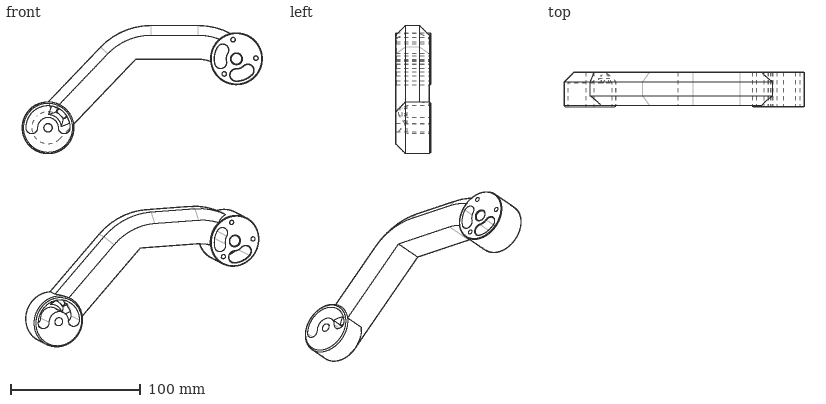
import cadquery as cq
import math


length = 185.0
depth = 27.0
height = 98.8

hub_radius = 20.0
hub_edge_chamfer = 0.5
lower_front_chamfer = 1.1
upper_hub_drop = 5.7
upper_hub_x = length - 2 * hub_radius
upper_hub_z = height - 2 * hub_radius - upper_hub_drop

arm_front = 1.1
arm_width = 26.0
arm_chamfer = 7.5
arm_angle = 46.3
arm_top_z = height - hub_radius
arm_top_offset = 13.7
inner_bend_radius = 27.8
outer_bend_radius = inner_bend_radius + arm_width
middle_bend_radius = inner_bend_radius + arm_width / 2

lower_hole_diameter = 6.3
pocket_inner_radius = 8.0
pocket_outer_radius = 17.0
pocket_depth = 18.5
entry_depth = 3.7
entry_mouth_radius = 10.2
entry_mouth_inner_half_angle = 41.5
entry_mouth_outer_half_angle = 34.5
entry_floor_radius = 13.5
entry_floor_half_angle = 17.0
ramp_width = 7.8
ramp_drop = 2.5

upper_hole_diameter = 8.1
hole_rim_chamfer = 0.5
slot_rim_chamfer = 0.4
slot_inner_radius = 8.0
slot_outer_radius = 17.0
slot_half_span = 23.0
slot_spacing = 60.5
screw_diameter = 3.3
screw_circle_radius = 15.0
screw_spacing = 131.0
pattern_angle = 231.0
left_slot_angle = pattern_angle - slot_spacing
lower_slot_angle = pattern_angle + slot_spacing


def polar(radius, angle, center=(0, 0)):
    """Point at a radius and an angle in degrees around a centre."""
    turn = math.radians(angle)
    return (center[0] + radius * math.cos(turn), center[1] + radius * math.sin(turn))


def face_sketch(y=0.0):
    """Workplane at depth y that faces the front; its local axes are X and Z."""
    return cq.Workplane(cq.Plane(origin=(0, y, 0), xDir=(1, 0, 0), normal=(0, -1, 0)))


def round_bar(diameter, centers=((0, 0),)):
    """Full-depth cylinders at the given centres."""
    return face_sketch().pushPoints(list(centers)).circle(diameter / 2).extrude(-depth)


def curved_slot(inner, outer, start, end, slot_depth):
    """Arc-shaped slot with round ends, around the origin; angles are of the end centres."""
    middle = (start + end) / 2
    center_radius = (inner + outer) / 2
    end_radius = (outer - inner) / 2
    end_tip = polar(end_radius, end + 90, polar(center_radius, end))
    start_tip = polar(end_radius, start - 90, polar(center_radius, start))
    return (
        face_sketch()
        .moveTo(*polar(inner, start))
        .threePointArc(polar(inner, middle), polar(inner, end))
        .threePointArc(end_tip, polar(outer, end))
        .threePointArc(polar(outer, middle), polar(outer, start))
        .threePointArc(start_tip, polar(inner, start))
        .close()
        .extrude(-slot_depth)
    )


def x_on_slope(z, offset):
    """X where a line parallel to the sloping arm, at a sideways offset, reaches height z."""
    slope = math.radians(arm_angle)
    return (z * math.cos(slope) - offset) / math.sin(slope)


def make_arm():
    """Bent bar whose two long upper edges are chamfered."""
    top_offset = arm_top_offset
    bottom_offset = arm_top_offset - arm_width
    across = arm_angle + 90
    bottom_z = arm_top_z - arm_width
    bend_z = arm_top_z - outer_bend_radius

    left = (x_on_slope(bend_z, top_offset - outer_bend_radius), bend_z)
    rise = upper_hub_z - bend_z
    right = (upper_hub_x - math.sqrt(middle_bend_radius**2 - rise**2), bend_z)
    end = math.degrees(math.asin(rise / middle_bend_radius))
    half_way = (90 + end) / 2

    slope_start = polar(top_offset, across)
    slope_end = polar(outer_bend_radius, across, left)
    left_bend_middle = polar(outer_bend_radius, (across + 90) / 2, left)
    right_bend_middle = polar(outer_bend_radius, half_way, right)
    bar = (
        face_sketch(arm_front)
        .moveTo(*polar(bottom_offset, across))
        .lineTo(*slope_start)
        .lineTo(*slope_end)
        .threePointArc(left_bend_middle, (left[0], arm_top_z))
        .lineTo(right[0], arm_top_z)
        .threePointArc(right_bend_middle, polar(outer_bend_radius, end, right))
        .lineTo(*polar(inner_bend_radius, end, right))
        .threePointArc(polar(inner_bend_radius, half_way, right), (right[0], bottom_z))
        .lineTo(x_on_slope(bottom_z, bottom_offset), bottom_z)
        .close()
        .extrude(-(depth - arm_front))
    )

    slope_middle = ((slope_start[0] + slope_end[0]) / 2, (slope_start[1] + slope_end[1]) / 2)
    level_middle = ((left[0] + right[0]) / 2, arm_top_z)
    upper_edges = []
    for x, z in (slope_middle, left_bend_middle, level_middle, right_bend_middle):
        for y in (arm_front, depth):
            nearest = cq.selectors.NearestToPointSelector((x, y, z))
            upper_edges.append(bar.edges(nearest).val())
    return bar.newObject(upper_edges).chamfer(arm_chamfer)


def make_lower_hub():
    hub = round_bar(2 * hub_radius)
    hub = hub.faces("<Y").chamfer(lower_front_chamfer)
    return hub.faces(">Y").chamfer(arm_chamfer)


def make_upper_hub():
    hub = round_bar(2 * hub_radius).faces("<Y or >Y").chamfer(hub_edge_chamfer)
    return hub.translate((upper_hub_x, 0, upper_hub_z))


def entry_outline(y, inner_radius, inner_half_angle, outer_half_angle):
    """Sector outline around the arm direction, reaching out to the pocket wall."""
    inner_first = polar(inner_radius, arm_angle - inner_half_angle)
    inner_last = polar(inner_radius, arm_angle + inner_half_angle)
    outer_first = polar(pocket_outer_radius, arm_angle - outer_half_angle)
    outer_last = polar(pocket_outer_radius, arm_angle + outer_half_angle)
    outline = (
        face_sketch(y)
        .moveTo(*inner_first)
        .threePointArc(polar(inner_radius, arm_angle), inner_last)
        .lineTo(*outer_last)
        .threePointArc(polar(pocket_outer_radius, arm_angle), outer_first)
        .close()
    )
    return outline.val()


def make_cable_entry():
    """Funnel in the pocket floor that runs into a ramp along the arm."""
    funnel_floor = pocket_depth + entry_depth
    mouth = entry_outline(
        pocket_depth, entry_mouth_radius, entry_mouth_inner_half_angle, entry_mouth_outer_half_angle
    )
    floor = entry_outline(
        funnel_floor, entry_floor_radius, entry_floor_half_angle, entry_floor_half_angle
    )
    funnel = cq.Workplane(cq.Solid.makeLoft([mouth, floor], True))

    ramp = (
        cq.Workplane("XY")
        .moveTo(entry_floor_radius, pocket_depth)
        .lineTo(entry_floor_radius, funnel_floor)
        .lineTo(pocket_outer_radius, funnel_floor + ramp_drop)
        .lineTo(pocket_outer_radius, pocket_depth)
        .close()
        .extrude(ramp_width / 2, both=True)
        .rotate((0, 0, 0), (0, 1, 0), -arm_angle)
        .intersect(round_bar(2 * pocket_outer_radius))
    )
    return funnel.union(ramp)


def make_lower_openings():
    pocket = curved_slot(pocket_inner_radius, pocket_outer_radius, 0, 180, pocket_depth)
    return pocket.union(make_cable_entry()).union(round_bar(lower_hole_diameter))


def make_upper_openings():
    screw_angles = [pattern_angle + step * screw_spacing for step in (-1, 0, 1)]
    screws = [polar(screw_circle_radius, angle) for angle in screw_angles]
    openings = round_bar(screw_diameter, screws).union(round_bar(upper_hole_diameter))
    for middle in (left_slot_angle, lower_slot_angle):
        start = middle - slot_half_span
        end = middle + slot_half_span
        openings = openings.union(
            curved_slot(slot_inner_radius, slot_outer_radius, start, end, depth)
        )
    return openings.translate((upper_hub_x, 0, upper_hub_z))


def chamfer_front_rim(body, point, size):
    """Chamfer the front rim that passes through an XZ point."""
    rim_edge = cq.selectors.NearestToPointSelector((point[0], 0, point[1]))
    return body.edges(rim_edge).chamfer(size)


def chamfer_upper_rims(body):
    """Chamfer the front rims of the shaft hole and of the lower curved slot."""
    hub_center = (upper_hub_x, upper_hub_z)
    slot_rim_point = polar(slot_outer_radius, lower_slot_angle, hub_center)
    body = chamfer_front_rim(body, hub_center, hole_rim_chamfer)
    return chamfer_front_rim(body, slot_rim_point, slot_rim_chamfer)


result = make_lower_hub().union(make_arm()).union(make_upper_hub())
result = result.cut(make_lower_openings()).cut(make_upper_openings())
result = chamfer_upper_rims(result)